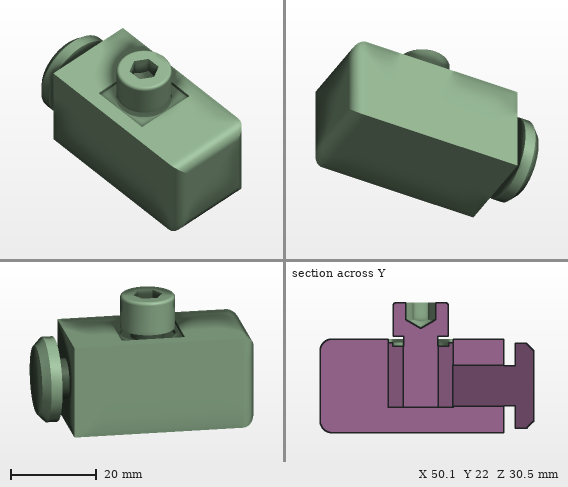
import cadquery as cq
import math

total_length = 50.1
bar_width = 22.0
housing_start = 7.1
end_radius = 2.95
bar_middle = bar_width / 2

insert_width = 15.05
insert_height = 15.05
insert_sink = 0.9
insert_x = 26.5
recess_depth = 0.8
recess_radius = 6.5
insert_top = bar_width - insert_sink
insert_bottom = insert_top - insert_height
insert_start = insert_x - insert_width / 2
recess_floor = insert_top - recess_depth

disc_radius = 10.0
disc_thickness = 4.45
disc_chamfer = 1.85
stem_radius = 4.75

screw_top = 30.5
head_radius = 6.45
head_height = 7.95
head_fillet = 0.75
shank_radius = 4.0
hex_across_flats = 6.0
hex_depth = 4.0
cone_angle = 120.0
head_underside = screw_top - head_height


def cylinder_up(radius, bottom, top):
    """Vertical cylinder on the screw axis."""
    return cq.Workplane("XY", origin=(insert_x, 0, bottom)).circle(radius).extrude(top - bottom)


def cylinder_along(radius, start, end):
    """Horizontal cylinder on the plunger axis."""
    return cq.Workplane("YZ", origin=(start, 0, bar_middle)).circle(radius).extrude(end - start)


def square_block(bottom, top):
    """Square prism that fits the insert pocket."""
    base = cq.Workplane("XY", origin=(insert_x, 0, bottom))
    return base.rect(insert_width, insert_width).extrude(top - bottom)


def make_housing():
    bar = (
        cq.Workplane("YZ", origin=(housing_start, 0, bar_middle))
        .rect(bar_width, bar_width)
        .extrude(total_length - housing_start)
        .faces(">X").edges().fillet(end_radius)
    )
    pocket = square_block(insert_bottom, bar_width)
    stem_hole = cylinder_along(stem_radius, housing_start, insert_start)
    return bar.cut(pocket).cut(stem_hole)


def make_insert():
    block = square_block(insert_bottom, insert_top)
    recess = cylinder_up(recess_radius, recess_floor, insert_top)
    shank_hole = cylinder_up(shank_radius, insert_bottom, insert_top)
    return block.cut(recess).cut(shank_hole)


def make_plunger():
    disc = cylinder_along(disc_radius, 0, disc_thickness).faces("<X").edges().chamfer(disc_chamfer)
    return disc.union(cylinder_along(stem_radius, disc_thickness, insert_start))


def make_hex_socket():
    """Hexagonal socket whose floor is a cone, trimmed by the socket walls."""
    hex_radius = hex_across_flats / math.sqrt(3)
    cone_depth = hex_radius / math.tan(math.radians(cone_angle / 2))
    prism = (
        cq.Workplane("XY", origin=(insert_x, 0, screw_top))
        .polygon(6, 2 * hex_radius)
        .extrude(-hex_depth - cone_depth)
    )
    pointed_drill = (
        cq.Workplane("XZ", origin=(insert_x, 0, screw_top))
        .polyline([(0, 0), (hex_radius, 0), (hex_radius, -hex_depth), (0, -hex_depth - cone_depth)])
        .close()
        .revolve(360, (0, 0), (0, 1))
    )
    return prism.intersect(pointed_drill)


def make_screw():
    head = cylinder_up(head_radius, head_underside, screw_top).faces(">Z").edges().fillet(head_fillet)
    shank = cylinder_up(shank_radius, insert_bottom, head_underside)
    return head.union(shank).cut(make_hex_socket())


housing = make_housing()
insert = make_insert()
plunger = make_plunger()
screw = make_screw()

result = cq.Compound.makeCompound([housing.val(), insert.val(), plunger.val(), screw.val()])